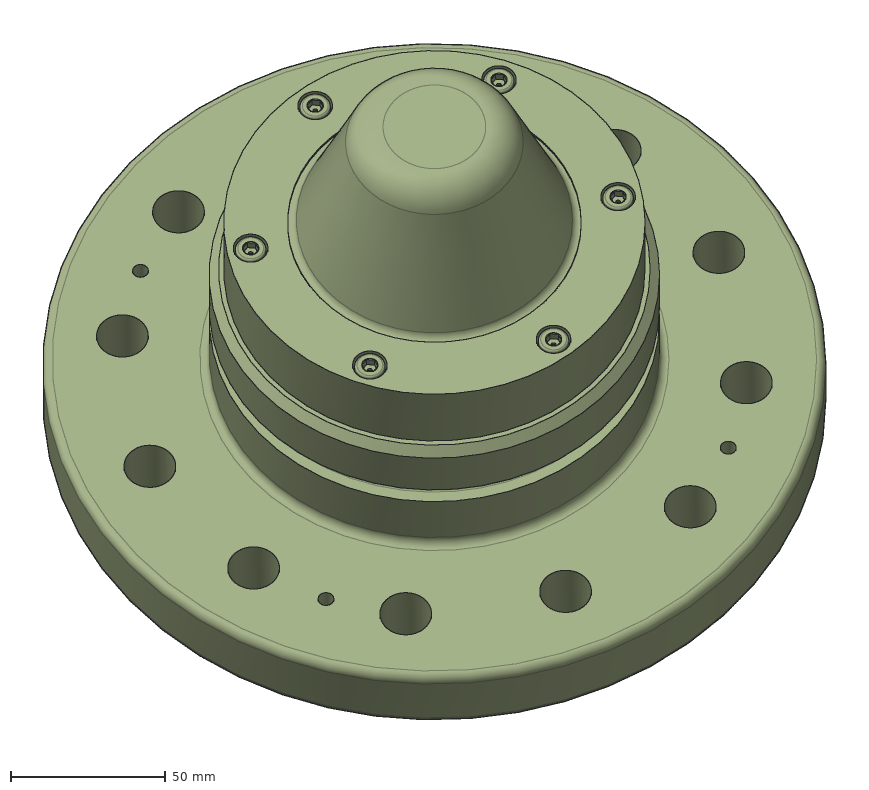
import cadquery as cq
import math

flange_diameter = 254.0
flange_thickness = 25.1
neck_diameter = 146.0
neck_top = 75.7
edge_size = 3.0

groove_diameter = 137.5
groove_bottom = 48.3
groove_top = 54.9
groove_root_radius = 0.5

flange_hole_circle = 203.2
bolt_hole_diameter = 16.8
bolt_hole_count = 12
pin_hole_diameter = 5.0
pin_hole_count = 4
pin_hole_start = 15.0

ring_diameter = 136.7
ring_top = 101.9
bore_diameter = 95.2

nose_top = 155.5
nose_taper = 20.0
nose_root_radius = 3.0
nose_tip_radius = 13.0
seat_depth = 0.8
foot_level = ring_top - seat_depth

screw_circle = 121.0
screw_count = 6
screw_start = 45.0
counterbore_diameter = 11.2
head_diameter = 10.0
head_edge_radius = 0.8
head_depth = 6.0
socket_width = 4.5
socket_corner_diameter = socket_width / math.cos(math.pi / 6)
socket_corner_angle = 30.0
socket_depth = 3.0
center_hole_diameter = 1.57
center_hole_depth = 1.0


def circle_points(circle_diameter, count, start=0.0):
    """Evenly spaced (x, y) points on a circle about the part axis."""
    radius = circle_diameter / 2
    angles = [math.radians(start + i * 360 / count) for i in range(count)]
    return [(radius * math.cos(a), radius * math.sin(a)) for a in angles]


def cylinders(diameter, bottom, top, points=((0, 0),)):
    """Upright cylinders between two heights, one at each point."""
    plane = cq.Workplane("XY", origin=(0, 0, bottom))
    return plane.pushPoints(points).circle(diameter / 2).extrude(top - bottom)


def make_flange():
    flange = cylinders(flange_diameter, 0, flange_thickness).edges().fillet(edge_size)
    bolt_points = circle_points(flange_hole_circle, bolt_hole_count)
    pin_points = circle_points(flange_hole_circle, pin_hole_count, pin_hole_start)
    flange = flange.cut(cylinders(bolt_hole_diameter, 0, flange_thickness, bolt_points))
    return flange.cut(cylinders(pin_hole_diameter, 0, flange_thickness, pin_points))


def make_neck():
    """Revolved neck with a filleted root, a ring groove and a chamfered top."""
    radius = neck_diameter / 2
    floor = groove_diameter / 2
    corner = groove_root_radius
    bend = corner * (1 - math.sqrt(0.5))
    root_bend = edge_size * (1 - math.sqrt(0.5))
    root_middle = (radius + root_bend, flange_thickness + root_bend)
    profile = (
        cq.Workplane("XZ")
        .moveTo(0, flange_thickness)
        .lineTo(radius + edge_size, flange_thickness)
        .threePointArc(root_middle, (radius, flange_thickness + edge_size))
        .lineTo(radius, groove_bottom)
        .lineTo(floor + corner, groove_bottom)
        .threePointArc((floor + bend, groove_bottom + bend), (floor, groove_bottom + corner))
        .lineTo(floor, groove_top - corner)
        .threePointArc((floor + bend, groove_top - bend), (floor + corner, groove_top))
        .lineTo(radius, groove_top)
        .lineTo(radius, neck_top - edge_size)
        .lineTo(radius - edge_size, neck_top)
        .lineTo(0, neck_top)
        .close()
    )
    return profile.revolve(360, (0, 0, 0), (0, 1, 0))


def make_housing():
    return make_flange().union(make_neck())


def make_clamp_ring():
    ring = cylinders(ring_diameter, neck_top, ring_top)
    ring = ring.cut(cylinders(bore_diameter, neck_top, ring_top))
    screw_points = circle_points(screw_circle, screw_count, screw_start)
    return ring.cut(cylinders(counterbore_diameter, ring_top - head_depth, ring_top, screw_points))


def make_nose():
    """Cone with a rounded tip, its root fillet ending on the bore of the clamp ring."""
    taper = math.radians(nose_taper)
    root_run = nose_root_radius * math.tan((math.pi / 2 - taper) / 2)
    foot_radius = bore_diameter / 2 - root_run
    root_end = (foot_radius - root_run * math.sin(taper), foot_level + root_run * math.cos(taper))
    sharp_tip_radius = foot_radius - (nose_top - foot_level) * math.tan(taper)
    tip_run = nose_tip_radius * math.tan((math.pi / 2 - taper) / 2)
    tip_start = (sharp_tip_radius + tip_run * math.sin(taper), nose_top - tip_run * math.cos(taper))
    flat_radius = sharp_tip_radius - tip_run
    middle = (math.pi / 2 + taper) / 2
    root_middle = (
        bore_diameter / 2 - nose_root_radius * math.cos(middle),
        foot_level + nose_root_radius * (1 - math.sin(middle)),
    )
    tip_middle = (
        flat_radius + nose_tip_radius * math.cos(middle),
        nose_top - nose_tip_radius * (1 - math.sin(middle)),
    )
    profile = (
        cq.Workplane("XZ")
        .moveTo(0, neck_top)
        .lineTo(bore_diameter / 2, neck_top)
        .lineTo(bore_diameter / 2, foot_level)
        .threePointArc(root_middle, root_end)
        .lineTo(*tip_start)
        .threePointArc(tip_middle, (flat_radius, nose_top))
        .lineTo(0, nose_top)
        .close()
    )
    return profile.revolve(360, (0, 0, 0), (0, 1, 0))


def make_screw(x, y):
    """Screw head flush with the ring top, with a rounded rim, a hex socket and a small center hole."""
    socket_floor = ring_top - socket_depth
    head = cylinders(head_diameter, ring_top - head_depth, ring_top, [(x, y)])
    head = head.faces(">Z").edges().fillet(head_edge_radius)
    socket_plane = cq.Workplane("XY", origin=(x, y, socket_floor))
    socket_plane = socket_plane.transformed(rotate=(0, 0, socket_corner_angle))
    socket = socket_plane.polygon(6, socket_corner_diameter).extrude(socket_depth)
    hole_floor = socket_floor - center_hole_depth
    center_hole = cylinders(center_hole_diameter, hole_floor, socket_floor, [(x, y)])
    entry_radius = socket_corner_diameter / 2
    entry = cq.Solid.makeCone(0, entry_radius, entry_radius, cq.Vector(x, y, ring_top - entry_radius))
    return head.cut(socket).cut(entry).cut(center_hole)


housing = make_housing()
clamp_ring = make_clamp_ring()
nose = make_nose()
screws = [make_screw(x, y).val() for x, y in circle_points(screw_circle, screw_count, screw_start)]

result = cq.Compound.makeCompound([housing.val(), clamp_ring.val(), nose.val(), *screws])